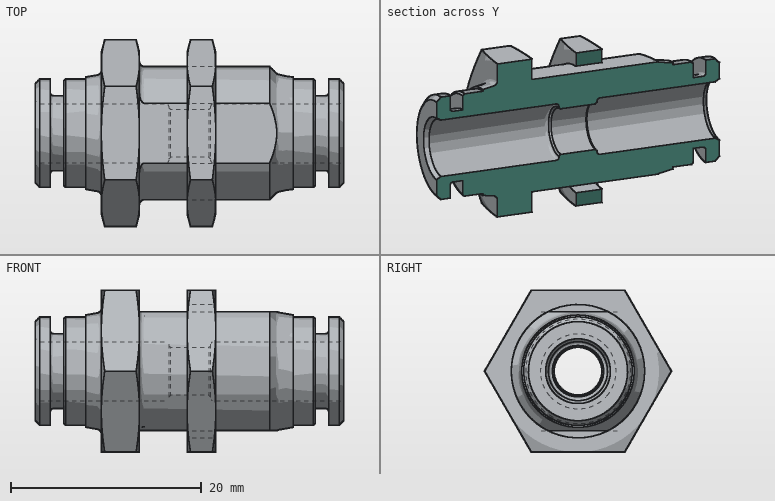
import cadquery as cq
import math


length = 32.4
across_flats = 17.0

collet_radius = 5.7
collet_thickness = 1.6
collet_chamfer = 0.5
neck_radius = 3.95
neck_fillet = 0.3

sleeve_start = 3.0
sleeve_chamfer = 0.2
cone_start = 5.3
cone_start_radius = 5.9
cone_angle = 10.0

flange_start = 6.95
flange_width = 4.0
flange_end = flange_start + flange_width
root_fillet = 0.5

barrel_radius = 7.0
barrel_end = 24.6
barrel_flat_height = 6.25

nut_start = 15.95
nut_width = 3.0

hex_chamfer_angle = 15.0

socket_radius = 3.1
socket_depth = 14.0
mouth_radius = 3.4
mouth_depth = 0.5
socket_fillet = 0.3
passage_radius = 2.5
passage_chamfer = 0.2


def revolve_about_x(points):
    """Turn a closed outline of (x, radius) points about the X axis."""
    return cq.Workplane("XZ").polyline(points).close().revolve(360, (0, 0, 0), (1, 0, 0))


def mirrored(points):
    """The same outline points at the other end of the fitting, in reverse order."""
    return [(length - x, radius) for x, radius in reversed(points)]


def fillet_circles(solid, corners, size):
    """Round the circular edges that pass through the given (x, radius) corners."""
    tolerance = 1e-3

    def at_corner(edge):
        if edge.geomType() != "CIRCLE":
            return False
        x = edge.Center().x
        return any(math.hypot(x - cx, edge.radius() - cr) < tolerance for cx, cr in corners)

    return solid.edges().filter(at_corner).fillet(size)


def hexagon(start, width):
    """Hexagonal prism along X, corners at +Y and -Y, with turned chamfers on both faces."""
    corner_radius = across_flats / math.sqrt(3)
    face_radius = across_flats / 2
    chamfer = (corner_radius - face_radius) * math.tan(math.radians(hex_chamfer_angle))
    end = start + width
    prism = cq.Workplane("YZ", origin=(start, 0, 0)).polygon(6, 2 * corner_radius).extrude(width)
    turned = revolve_about_x([
        (start, 0),
        (start, face_radius),
        (start + chamfer, corner_radius),
        (end - chamfer, corner_radius),
        (end, face_radius),
        (end, 0),
    ])
    return prism.intersect(turned)


def turned_body():
    """Outer turned shape of the body, with a round core where the hexagon flange goes."""
    slope = math.tan(math.radians(cone_angle))
    flange_core_radius = across_flats / 2
    flange_cone_radius = cone_start_radius + slope * (flange_start - cone_start)

    far_cone_start = length - cone_start
    far_cone_radius_at_barrel = cone_start_radius + slope * (far_cone_start - barrel_end)
    end_chamfer = (barrel_radius - far_cone_radius_at_barrel) / (1 - slope)
    chamfer_foot = (barrel_end + end_chamfer, barrel_radius - end_chamfer)

    end_profile = [
        (0, 0),
        (0, collet_radius - collet_chamfer),
        (collet_chamfer, collet_radius),
        (collet_thickness, collet_radius),
        (collet_thickness, neck_radius),
        (sleeve_start, neck_radius),
        (sleeve_start, collet_radius - sleeve_chamfer),
        (sleeve_start + sleeve_chamfer, collet_radius),
        (cone_start, collet_radius),
        (cone_start, cone_start_radius),
    ]
    centre_profile = [
        (flange_start, flange_cone_radius),
        (flange_start, flange_core_radius),
        (flange_end, flange_core_radius),
        (flange_end, barrel_radius),
        (barrel_end, barrel_radius),
        chamfer_foot,
    ]
    solid = revolve_about_x(end_profile + centre_profile + mirrored(end_profile))

    neck_roots = [(collet_thickness, neck_radius), (length - collet_thickness, neck_radius)]
    solid = fillet_circles(solid, neck_roots, neck_fillet)
    body_roots = [(flange_start, flange_cone_radius), (flange_end, barrel_radius), chamfer_foot]
    return fillet_circles(solid, body_roots, root_fillet)


def cut_wrench_flats(solid):
    """Cut the flats above and below the barrel, from the flange to the far cone."""
    block_length = length - flange_end
    block_height = across_flats / 2
    block = cq.Workplane("XY").box(
        block_length, across_flats, block_height, centered=(False, True, True)
    )
    for side in (1, -1):
        height = side * (barrel_flat_height + block_height / 2)
        solid = solid.cut(block.translate((flange_end, 0, height)))
    return solid


def bore():
    """Through passage with a flared tube socket at each end."""
    stop_edge_radius = passage_radius + passage_chamfer
    socket_profile = [
        (0, 0),
        (0, mouth_radius),
        (mouth_depth, socket_radius),
        (socket_depth, socket_radius),
        (socket_depth, stop_edge_radius),
        (socket_depth + passage_chamfer, passage_radius),
    ]
    solid = revolve_about_x(socket_profile + mirrored(socket_profile))
    socket_ends = [(socket_depth, socket_radius), (length - socket_depth, socket_radius)]
    return fillet_circles(solid, socket_ends, socket_fillet)


body = cut_wrench_flats(turned_body())
body = body.union(hexagon(flange_start, flange_width))
body = body.cut(bore())

nut_hole = cq.Workplane("YZ", origin=(nut_start, 0, 0)).circle(barrel_radius).extrude(nut_width)
nut = hexagon(nut_start, nut_width).cut(nut_hole)

result = cq.Compound.makeCompound([body.solids().val(), nut.solids().val()])